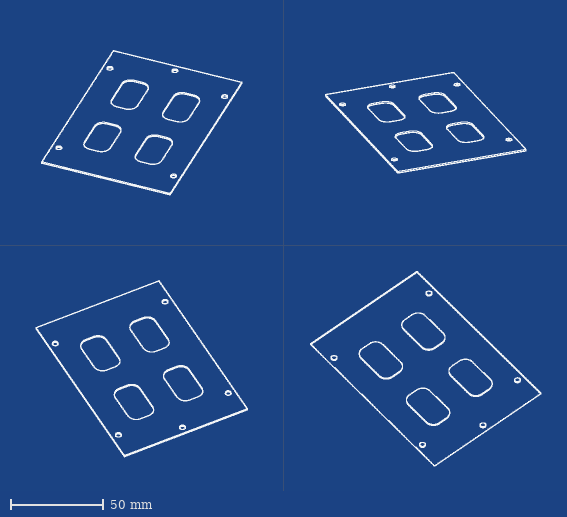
import cadquery as cq

plate_width = 75.0
plate_length = 105.0
plate_thickness = 1.0

hole_diameter = 3.2
hole_edge_distance = 4.0
side_hole_spacing = 75.0

window_width = 15.0
window_length = 25.0
window_corner_radius = 5.0
window_column_pitch = 30.0
window_row_pitch = 40.0


def make_plate():
    """Flat rectangular plate centred in X and Y, resting on Z = 0."""
    return cq.Workplane("XY").box(
        plate_width, plate_length, plate_thickness, centered=(True, True, False)
    )


def make_windows():
    """Four rounded rectangles that pass through the plate."""
    return (
        cq.Workplane("XY")
        .rarray(window_column_pitch, window_row_pitch, 2, 2)
        .rect(window_width, window_length)
        .extrude(plate_thickness)
        .edges("|Z")
        .fillet(window_corner_radius)
    )


def make_mounting_holes():
    """Two holes along each long side and one at the middle of the +Y edge."""
    side_hole_x = plate_width / 2 - hole_edge_distance
    side_hole_y = side_hole_spacing / 2
    end_hole_y = plate_length / 2 - hole_edge_distance
    hole_centers = [(0, end_hole_y)]
    for x in (-side_hole_x, side_hole_x):
        for y in (-side_hole_y, side_hole_y):
            hole_centers.append((x, y))
    return (
        cq.Workplane("XY")
        .pushPoints(hole_centers)
        .circle(hole_diameter / 2)
        .extrude(plate_thickness)
    )


result = make_plate().cut(make_windows()).cut(make_mounting_holes())